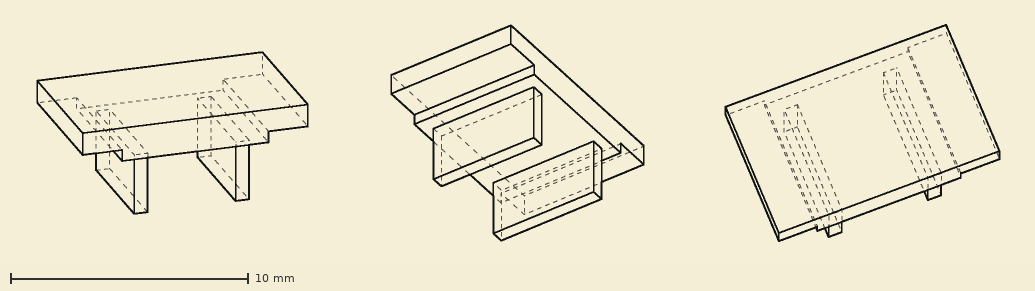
import cadquery as cq

plate_width = 6.1
plate_length = 10.0
plate_thickness = 1.0

step_length = 6.5
step_thickness = 0.5

leg_side_inset = 0.5
leg_width = plate_width - 2 * leg_side_inset
leg_outer_span = 5.1
leg_thickness = 0.6
leg_height = 2.7

step_bottom = leg_height
plate_bottom = step_bottom + step_thickness


def block(size_x, size_y, size_z, center_y, bottom_z):
    """Box centred on X, standing on the given Z level."""
    return (
        cq.Workplane("XY")
        .box(size_x, size_y, size_z, centered=(True, True, False))
        .translate((0, center_y, bottom_z))
    )


def make_plate():
    return block(plate_width, plate_length, plate_thickness, 0, plate_bottom)


def make_step():
    return block(plate_width, step_length, step_thickness, 0, step_bottom)


def make_leg(side):
    """Leg at the -Y (side = -1) or +Y (side = +1) end of the step."""
    center_y = side * (leg_outer_span - leg_thickness) / 2
    return block(leg_width, leg_thickness, leg_height, center_y, 0)


result = make_plate().union(make_step())
for side in (-1, 1):
    result = result.union(make_leg(side))